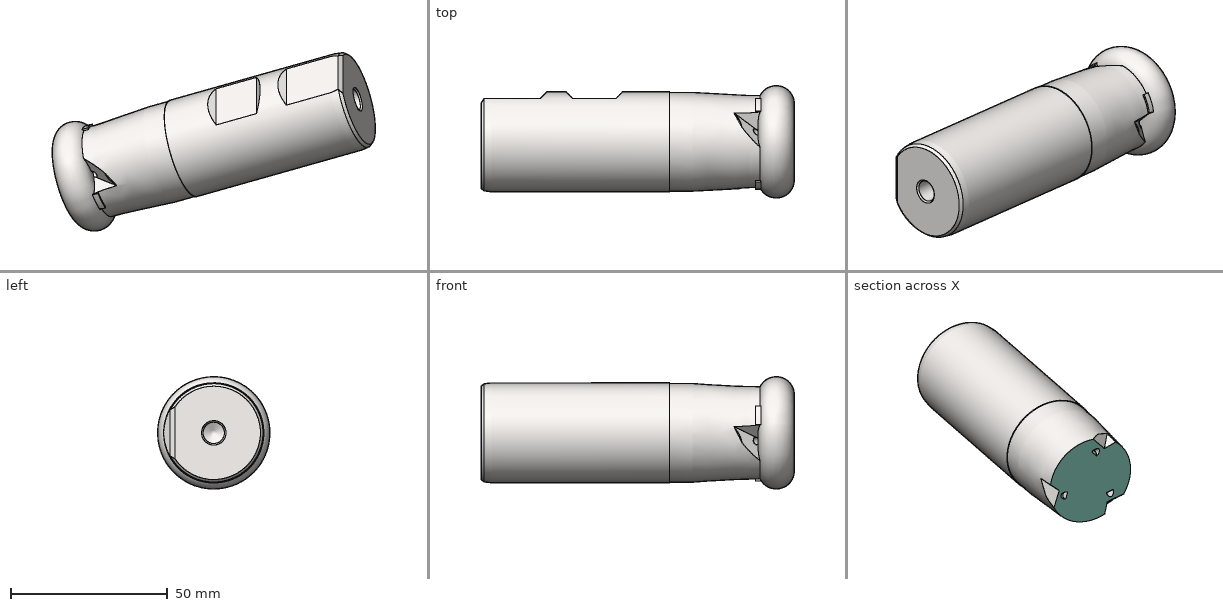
import cadquery as cq
import math

total_length = 100.0

shank_radius = 16.0
shank_length = 60.2
end_face_radius = 14.9
end_bevel_length = 1.0
end_bevel_radius = 15.7
lead_in_length = 3.4

flat_height = 13.9
flat_edge_height = 12.4
flat_ramp = shank_radius - flat_height
land_start = 21.0
land_end = 27.1
rear_flat_end = 45.2
cut_margin = 5.0

collar_radius = 15.8
collar_end = 67.5
neck_radius = 14.8
neck_taper_end = 85.7

rim_radius = 17.94
rim_round_radius = 5.8
rim_middle = total_length - rim_round_radius
rim_round_centre = rim_radius - rim_round_radius

hole_radius = 3.4
hole_depth = 12.0
hole_mouth_radius = 3.9
hole_mouth_depth = hole_mouth_radius - hole_radius
drill_point_angle = 118.0

tooth_count = 3
tooth_pitch = 360 / tooth_count
pocket_tip_x = 80.7
pocket_front_x = 90.0
pocket_tip = (pocket_tip_x, -15.0, 2.0)
pocket_root = (pocket_front_x, -9.0, -2.5)
pocket_wall_corner = (pocket_front_x, -20.0, 7.7)
pocket_floor_corner = (pocket_front_x, -13.6, -16.5)
screw_hole_centre = (88.0, -11.0, -2.5)
screw_hole_radius = 1.2
screw_hole_depth = 3.0
lug_start_x = 87.5
lug_radius = 15.4
lug_first_angle = 10.0
lug_sweep = 24.0


def revolve_about_x(profile, angle=360):
    return profile.close().revolve(angle, (0, 0, 0), (1, 0, 0))


def make_body():
    profile = (
        cq.Workplane("XY")
        .lineTo(0, end_face_radius)
        .lineTo(end_bevel_length, end_bevel_radius)
        .lineTo(lead_in_length, shank_radius)
        .lineTo(shank_length, shank_radius)
        .lineTo(shank_length, collar_radius)
        .lineTo(collar_end, collar_radius)
        .lineTo(neck_taper_end, neck_radius)
        .lineTo(rim_middle, neck_radius)
        .lineTo(rim_middle, 0)
    )
    return revolve_about_x(profile)


def make_rim():
    profile = (
        cq.Workplane("XY")
        .moveTo(rim_middle - rim_round_radius, 0)
        .lineTo(rim_middle - rim_round_radius, rim_round_centre)
        .threePointArc((rim_middle, rim_radius), (total_length, rim_round_centre))
        .lineTo(total_length, 0)
    )
    return revolve_about_x(profile)


def make_flat_cutters():
    """Two cutters with 45 degree ramps, leaving a raised land between them."""
    outer_height = shank_radius + cut_margin
    slope_run = outer_height - flat_height
    front_flat = [
        (-cut_margin, flat_edge_height),
        (0, flat_edge_height),
        (end_bevel_length, flat_height),
        (land_start - flat_ramp, flat_height),
        (land_start - flat_ramp + slope_run, outer_height),
        (-cut_margin, outer_height),
    ]
    rear_flat = [
        (land_end + flat_ramp, flat_height),
        (rear_flat_end - flat_ramp, flat_height),
        (rear_flat_end - flat_ramp + slope_run, outer_height),
        (land_end + flat_ramp - slope_run, outer_height),
    ]
    return [
        cq.Workplane("XY").polyline(outline).close().extrude(shank_radius, both=True)
        for outline in (front_flat, rear_flat)
    ]


def make_end_hole():
    point_length = hole_radius / math.tan(math.radians(drill_point_angle / 2))
    profile = (
        cq.Workplane("XY")
        .lineTo(0, hole_mouth_radius)
        .lineTo(hole_mouth_depth, hole_radius)
        .lineTo(hole_depth, hole_radius)
        .lineTo(hole_depth + point_length, 0)
    )
    return revolve_about_x(profile)


def make_pocket_cutter():
    """Four-sided wedge that deepens from its tip towards the rim."""
    corners = [pocket_tip, pocket_root, pocket_wall_corner, pocket_floor_corner]
    faces = []
    for skipped in corners:
        triangle = [cq.Vector(*corner) for corner in corners if corner != skipped]
        faces.append(cq.Face.makeFromWires(cq.Wire.makePolygon(triangle, close=True)))
    return cq.Workplane(cq.Solid.makeSolid(cq.Shell.makeShell(faces)))


def make_screw_hole():
    """Small blind hole square to the pocket floor."""
    tip = cq.Vector(*pocket_tip)
    along_root = cq.Vector(*pocket_root) - tip
    along_floor = cq.Vector(*pocket_floor_corner) - tip
    outward = along_root.cross(along_floor).normalized()
    start = cq.Vector(*screw_hole_centre) - outward * screw_hole_depth
    return cq.Workplane(cq.Solid.makeCylinder(screw_hole_radius, 2 * screw_hole_depth, start, outward))


def make_lug():
    profile = (
        cq.Workplane("XY")
        .moveTo(lug_start_x, 0)
        .lineTo(lug_start_x, lug_radius)
        .lineTo(rim_middle, lug_radius)
        .lineTo(rim_middle, 0)
    )
    lug = revolve_about_x(profile, lug_sweep)
    return lug.rotate((0, 0, 0), (1, 0, 0), 180 - lug_first_angle - lug_sweep)


result = make_body()
for cutter in make_flat_cutters():
    result = result.cut(cutter)
result = result.cut(make_end_hole())
for tooth in range(tooth_count):
    tooth_angle = tooth * tooth_pitch
    result = result.cut(make_pocket_cutter().rotate((0, 0, 0), (1, 0, 0), tooth_angle))
    result = result.cut(make_screw_hole().rotate((0, 0, 0), (1, 0, 0), tooth_angle))
    result = result.union(make_lug().rotate((0, 0, 0), (1, 0, 0), tooth_angle))
result = result.union(make_rim())